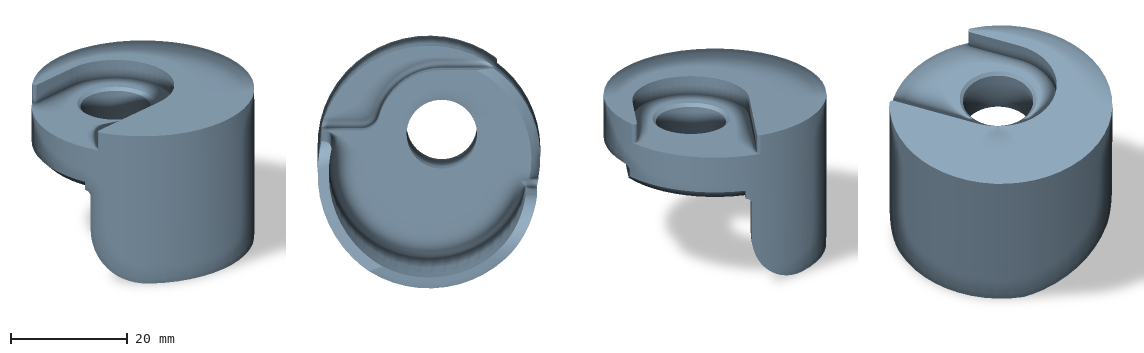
import cadquery as cq
import math

outer_radius = 19.05
height = 27.93
disc_thickness = 11.45
disc_chamfer = 1.52
tilt = 18.0
margin = 7.62

bore_x = -3.43
bore_y = -3.43
bore_radius = 6.02
bore_chamfer = 0.55
slot_radius = 10.02
slot_depth = 3.43
slot_mouth_rounding = 0.5

wall_inner_radius = 17.15
root_fillet = 1.05
front_end = 4.72
front_corner_radius = 9.15
back_slope = 14.0
slope_start_x = 12.0
back_end_x = -10.55
back_corner_radius = 5.0
back_end_rounding = 0.9

rim_thickness = 7.95
pocket_boss_radius = 11.2
pocket_blend_radius = 3.05
pocket_end = -5.0
pocket_roof_fillet = 1.05

reach = outer_radius + margin
angle = math.radians(tilt)
back_end_z = -height + math.tan(math.radians(back_slope)) * (slope_start_x - back_end_x)
bore_u = bore_x * math.cos(angle) + bore_y * math.sin(angle)
bore_v = bore_y * math.cos(angle) - bore_x * math.sin(angle)


def tilted(tool):
    """Turn a tool from the tilted frame into the part frame."""
    return tool.rotate((0, 0, 0), (0, 0, 1), tilt)


def nearest_to_tilted_point(u, v, z):
    """Selector for the edge whose centre is nearest a point of the tilted frame."""
    x = u * math.cos(angle) - v * math.sin(angle)
    y = u * math.sin(angle) + v * math.cos(angle)
    return cq.selectors.NearestToPointSelector((x, y, z))


def make_disc():
    disc = cq.Workplane("XY").circle(outer_radius).extrude(-disc_thickness)
    return disc.faces("<Z").edges().chamfer(disc_chamfer)


def make_front_cut():
    """Clears the wall at the front and rounds the lower corner of its end."""
    top = -disc_thickness + disc_chamfer
    return tilted(
        cq.Workplane("XZ")
        .moveTo(-reach, top)
        .lineTo(front_end - root_fillet, top)
        .lineTo(front_end - root_fillet, -disc_thickness)
        .radiusArc((front_end, -disc_thickness - root_fillet), root_fillet)
        .lineTo(front_end, -height + front_corner_radius)
        .radiusArc((front_end + front_corner_radius, -height), -front_corner_radius)
        .lineTo(front_end + front_corner_radius, -height - margin)
        .lineTo(-reach, -height - margin)
        .close()
        .extrude(reach)
    )


def make_back_cut():
    """Removes everything below the sloped, round-cornered edge of the back wall."""
    kept = (
        cq.Workplane("XZ")
        .moveTo(back_end_x, 0)
        .lineTo(back_end_x, back_end_z)
        .lineTo(slope_start_x, -height)
        .lineTo(reach, -height)
        .lineTo(reach, 0)
        .close()
        .extrude(-reach)
    )
    corner = cq.selectors.NearestToPointSelector((back_end_x, reach / 2, back_end_z))
    kept = kept.edges(corner).fillet(back_corner_radius)
    block = cq.Workplane("XY").box(2 * reach, reach, height, centered=(True, False, False))
    return block.translate((0, 0, -height)).cut(kept)


def round_back_wall_end(wall):
    """Round the upright inner edge at the back end of the wall."""
    u = pocket_end
    v = math.sqrt(wall_inner_radius**2 - u**2)
    middle_z = (back_end_z + back_corner_radius - disc_thickness - root_fillet) / 2
    edge = nearest_to_tilted_point(u, v, middle_z)
    return wall.edges(edge).fillet(back_end_rounding)


def make_wall():
    """Half ring hanging from the disc, with a rounded inner root."""
    wall_top = -disc_thickness + disc_chamfer
    ring = (
        cq.Workplane("XY")
        .workplane(offset=wall_top)
        .circle(outer_radius)
        .circle(wall_inner_radius - root_fillet)
        .extrude(-height - wall_top)
    )
    hollow = (
        cq.Workplane("XY")
        .workplane(offset=-disc_thickness)
        .circle(wall_inner_radius)
        .extrude(-height)
        .faces(">Z")
        .edges()
        .fillet(root_fillet)
    )
    wall = ring.cut(hollow).cut(make_front_cut()).cut(make_back_cut()).cut(make_pocket())
    return round_back_wall_end(wall)


def make_pocket():
    """Recess under the rim, leaving a rounded boss around the bore."""
    blend_u = pocket_end - pocket_blend_radius
    centre_gap = pocket_boss_radius + pocket_blend_radius
    du = blend_u - bore_u
    dv = math.sqrt(centre_gap**2 - du**2)
    blend_v = bore_v + dv
    share = pocket_boss_radius / centre_gap
    boss_left = bore_u - pocket_boss_radius
    tool = (
        cq.Workplane("XY")
        .workplane(offset=-rim_thickness)
        .moveTo(boss_left, -reach)
        .lineTo(boss_left, bore_v)
        .radiusArc((bore_u + share * du, bore_v + share * dv), pocket_boss_radius)
        .radiusArc((pocket_end, blend_v), -pocket_blend_radius)
        .lineTo(pocket_end, reach)
        .lineTo(-reach, reach)
        .lineTo(-reach, -reach)
        .close()
        .extrude(-height)
    )
    return tilted(tool.faces(">Z").edges().fillet(pocket_roof_fillet))


def make_slot():
    """U-shaped slot, open towards -Y, in the top face."""
    return tilted(
        cq.Workplane("XY")
        .moveTo(bore_u - slot_radius, -reach)
        .lineTo(bore_u - slot_radius, bore_v)
        .radiusArc((bore_u + slot_radius, bore_v), slot_radius)
        .lineTo(bore_u + slot_radius, -reach)
        .close()
        .extrude(-slot_depth)
    )


def round_slot_mouth(body):
    """Round the two upright edges where the slot leaves the rim."""
    for side in (-1, 1):
        u = bore_u + side * slot_radius
        v = -math.sqrt(outer_radius**2 - u**2)
        mouth = nearest_to_tilted_point(u, v, -slot_depth / 2)
        body = body.edges(mouth).fillet(slot_mouth_rounding)
    return body


def make_bore():
    floor = cq.Workplane("XY").workplane(offset=-slot_depth).center(bore_x, bore_y)
    bore = floor.circle(bore_radius).extrude(-height)
    countersink = cq.Solid.makeCone(
        bore_radius + bore_chamfer,
        bore_radius,
        bore_chamfer,
        cq.Vector(bore_x, bore_y, -slot_depth),
        cq.Vector(0, 0, -1),
    )
    return bore.union(cq.Workplane(countersink))


body = make_disc().cut(make_pocket()).union(make_wall()).cut(make_slot())
result = round_slot_mouth(body).cut(make_bore())